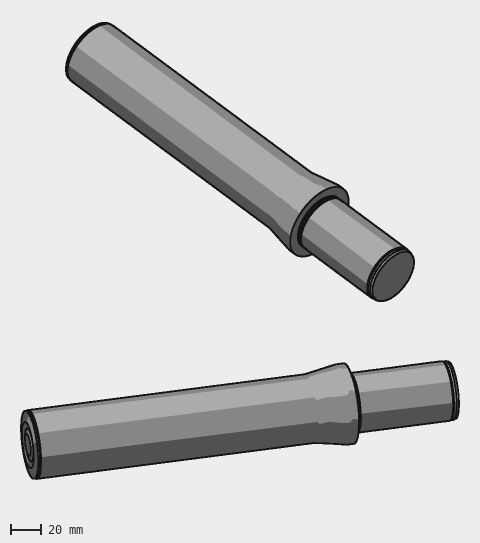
import cadquery as cq
import math

LENGTH = 290.0
HANDLE_RIM_X = 1.2
HANDLE_STEP_X = 3.2
FLARE_START_X = 192.5
FLARE_END_X = 214.5
COLLAR_END_X = 219.5
NECK_END_X = 222.7
TIP_STEP_X = 285.6
TIP_BEVEL_X = 288.3
STEP_LENGTH = 1.0

HANDLE_D = 46.0
HANDLE_RIM_D = 45.5
END_FACE_D = 41.5
COLLAR_D = 54.0
SHANK_D = 40.0
NECK_D = 39.5
TIP_FACE_D = 38.3

FLARE_BLEND = 5.8

RING_OUTER_D = 31.0
RING_MIDDLE_D = 22.3
RING_INNER_D = 15.0
RING_DEPTH = 1.0


def revolve_about_x(profile):
    return profile.close().revolve(360, (0, 0, 0), (1, 0, 0))


def make_handle():
    handle_r = HANDLE_D / 2
    collar_r = COLLAR_D / 2
    flare_angle = math.atan2(collar_r - handle_r, FLARE_END_X - FLARE_START_X)
    blend_reach = FLARE_BLEND * math.tan(flare_angle / 2)
    along = blend_reach * math.cos(flare_angle)
    rise = blend_reach * math.sin(flare_angle)
    profile = (
        cq.Workplane("XY")
        .moveTo(RING_DEPTH, 0)
        .lineTo(0, RING_INNER_D / 2)
        .lineTo(RING_DEPTH, RING_MIDDLE_D / 2)
        .lineTo(0, RING_OUTER_D / 2)
        .lineTo(HANDLE_RIM_X, END_FACE_D / 2)
        .lineTo(HANDLE_RIM_X, HANDLE_RIM_D / 2)
        .lineTo(HANDLE_STEP_X - STEP_LENGTH, HANDLE_RIM_D / 2)
        .lineTo(HANDLE_STEP_X, handle_r)
        .lineTo(FLARE_START_X - blend_reach, handle_r)
        .tangentArcPoint((FLARE_START_X + along, handle_r + rise), relative=False)
        .lineTo(FLARE_END_X - along, collar_r - rise)
        .tangentArcPoint((FLARE_END_X + blend_reach, collar_r), relative=False)
        .lineTo(COLLAR_END_X, collar_r)
        .lineTo(COLLAR_END_X, 0)
    )
    return revolve_about_x(profile)


def make_shank():
    profile = (
        cq.Workplane("XY")
        .moveTo(COLLAR_END_X, 0)
        .lineTo(COLLAR_END_X, SHANK_D / 2)
        .lineTo(COLLAR_END_X + STEP_LENGTH, NECK_D / 2)
        .lineTo(NECK_END_X - STEP_LENGTH, NECK_D / 2)
        .lineTo(NECK_END_X, SHANK_D / 2)
        .lineTo(TIP_STEP_X, SHANK_D / 2)
        .lineTo(TIP_STEP_X + STEP_LENGTH, NECK_D / 2)
        .lineTo(TIP_BEVEL_X, NECK_D / 2)
        .lineTo(LENGTH, TIP_FACE_D / 2)
        .lineTo(LENGTH, 0)
    )
    return revolve_about_x(profile)


handle = make_handle()
shank = make_shank()
result = cq.Compound.makeCompound([handle.val(), shank.val()])